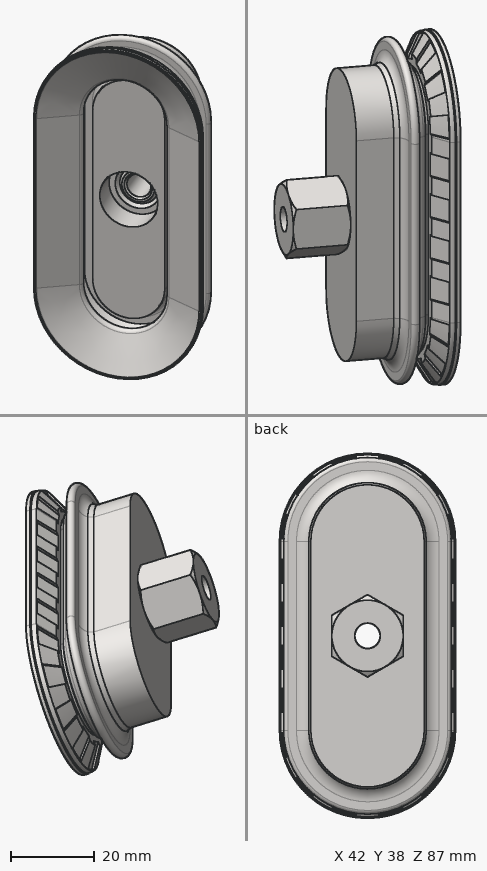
import cadquery as cq
import math

straight_length = 45.0
total_depth = 38.02

holder_radius = 13.5
holder_back_y = 23.8
holder_edge_y = 14.55
shoulder_radius = 14.0
shoulder_y = 13.2
flange_radius = 20.0
flange_top_y = 11.85
flange_bottom_y = 9.7
flange_root_radius = 17.0
flange_lower_root_radius = 17.5
flange_edge_fillet = 0.95
fold_radius = 14.4
fold_y = 7.6
fold_end_radius = 13.8
fold_end_y = 6.8
neck_radius = 12.7
neck_top_radius = 13.0
neck_top_y = 6.5
neck_inner_radius = 10.5
neck_lead_radius = 11.2
neck_lead_y = 5.1
neck_bulge_y = 6.2
neck_inner_top_radius = 10.9
neck_inner_top_y = 7.1

island_radius = 9.0
island_y = 8.8
island_fillet = 1.5
chamber_radius = 14.9
chamber_y = 10.3
chamber_roof_radius = 12.4
chamber_roof_y = 13.0

lip_top_y = 5.75
rim_radius = 21.0
rim_chamfer = 0.15
rim_band_y = 1.1
rim_upper_radius = rim_radius - rim_chamfer
rim_upper_y = 1.4
rim_round_radius = 20.65
rim_round_y = 2.65
rim_inner_radius = 20.3
cone_slope = 0.604
lip_top_radius = rim_round_radius - (lip_top_y - rim_round_y) / cone_slope

recess_depth = 0.6
recess_outer_radius = 20.45
recess_pitch = 10.25
recess_width = 5.75
recess_pitch_angle = 32.0
recess_angle = 16.5
arc_recess_steps = (-2.5, -1.5, -0.5, 0.5, 1.5, 2.5)
side_recess_steps = (-1.5, -0.5, 0.5, 1.5)

counterbore_diameter = 14.5
counterbore_depth = 7.3
countersink_diameter = 11.45
thread_diameter = 9.73
thread_nose_diameter = 8.2
bore_diameter = 6.0
bore_chamfer = 0.5

hex_across_flats = 17.0
hex_chamfer_angle = 30.0
hex_turn = 30.0


def oval_sweep(make_section):
    """Carry a (radius, y) section round the oval: two half turns joined by straight runs."""
    half = straight_length / 2
    half_turn = make_section().revolve(180, (0, 0), (0, 1))
    if half_turn.val().Center().z < 0:
        half_turn = half_turn.mirror("XY")
    upper_end = half_turn.translate((0, 0, half))
    run = make_section().extrude(half, both=True)
    side = run.union(run.mirror("YZ"))
    return side.union(upper_end).union(upper_end.mirror("XY"))


def fold_arc_middle():
    """Middle of the arc that leaves the flange tangentially and ends on the fold."""
    width = flange_lower_root_radius - fold_radius
    height = flange_bottom_y - fold_y
    arc_radius = (width ** 2 + height ** 2) / (2 * height)
    half_angle = math.atan2(height, width)
    return (
        flange_lower_root_radius - arc_radius * math.sin(half_angle),
        flange_bottom_y - arc_radius * (1 - math.cos(half_angle)),
    )


def cup_section():
    """Half section of holder, chamber, bellows and lip, closed on the centre line."""
    edge = flange_edge_fillet
    flange_top_edge = (flange_radius - edge, flange_top_y)
    flange_bottom_edge = (flange_radius - edge, flange_bottom_y)
    flange_tip = (flange_radius, (flange_top_y + flange_bottom_y) / 2)
    rim_round_middle = (rim_upper_radius, (rim_upper_y + rim_round_y) / 2)
    diagonal = island_fillet * math.sqrt(0.5)
    island_fillet_middle = (
        island_radius + island_fillet - diagonal,
        chamber_roof_y - island_fillet + diagonal,
    )
    return (
        cq.Workplane("XY")
        .moveTo(0, island_y)
        .lineTo(island_radius, island_y)
        .lineTo(island_radius, chamber_roof_y - island_fillet)
        .threePointArc(island_fillet_middle, (island_radius + island_fillet, chamber_roof_y))
        .lineTo(chamber_roof_radius, chamber_roof_y)
        .lineTo(chamber_radius, chamber_y)
        .lineTo(neck_inner_top_radius, neck_inner_top_y)
        .threePointArc((neck_inner_radius, neck_bulge_y), (neck_lead_radius, neck_lead_y))
        .lineTo(rim_inner_radius, rim_chamfer)
        .lineTo(rim_inner_radius + rim_chamfer, 0)
        .lineTo(rim_radius - rim_chamfer, 0)
        .lineTo(rim_radius, rim_chamfer)
        .lineTo(rim_radius, rim_band_y)
        .lineTo(rim_upper_radius, rim_upper_y)
        .threePointArc(rim_round_middle, (rim_round_radius, rim_round_y))
        .lineTo(lip_top_radius, lip_top_y)
        .lineTo(neck_radius, lip_top_y)
        .lineTo(neck_top_radius, neck_top_y)
        .lineTo(fold_end_radius, fold_end_y)
        .lineTo(fold_radius, fold_y)
        .threePointArc(fold_arc_middle(), (flange_lower_root_radius, flange_bottom_y))
        .lineTo(*flange_bottom_edge)
        .threePointArc(flange_tip, flange_top_edge)
        .lineTo(flange_root_radius, flange_top_y)
        .tangentArcPoint((shoulder_radius, shoulder_y), relative=False)
        .lineTo(holder_radius, holder_edge_y)
        .lineTo(holder_radius, holder_back_y)
        .lineTo(0, holder_back_y)
        .close()
    )


def recess_section():
    """Strip along the lip cone, open at its inner end and closed square to the cone outside."""
    slant = math.hypot(1, cone_slope)
    drop = recess_depth * slant
    outer_y = rim_round_y + cone_slope * (rim_round_radius - recess_outer_radius)
    outer_floor = (
        recess_outer_radius - recess_depth * cone_slope / slant,
        outer_y - recess_depth / slant,
    )
    return (
        cq.Workplane("XY")
        .moveTo(lip_top_radius - drop / cone_slope, lip_top_y)
        .lineTo(lip_top_radius, lip_top_y)
        .lineTo(recess_outer_radius, outer_y)
        .lineTo(*outer_floor)
        .close()
    )


def recess_windows():
    """Blocks that cut the recess ring into single recesses, round the ends and along the sides."""
    reach = 2 * rim_radius
    half_width = reach * math.tan(math.radians(recess_angle / 2))
    wedge = (
        cq.Workplane("XZ")
        .polyline([(0, 0), (half_width, reach), (-half_width, reach)])
        .close()
        .extrude(-holder_edge_y)
    )
    bar = cq.Workplane("XY").box(2 * reach, 2 * holder_edge_y, recess_width)
    windows = []
    for step in arc_recess_steps:
        window = wedge.rotate((0, 0, 0), (0, 1, 0), step * recess_pitch_angle)
        window = window.translate((0, 0, straight_length / 2))
        windows.append(window)
        windows.append(window.mirror("XY"))
    for step in side_recess_steps:
        windows.append(bar.translate((0, 0, step * recess_pitch)))
    return windows


def cut_recesses(cup):
    ring = oval_sweep(recess_section)
    for window in recess_windows():
        cup = cup.cut(ring.intersect(window))
    return cup


def hex_fitting():
    """Hexagon chamfered at the corners of both ends."""
    length = total_depth - holder_back_y
    corner_radius = hex_across_flats / math.sqrt(3)
    flat_radius = hex_across_flats / 2
    chamfer = (corner_radius - flat_radius) * math.tan(math.radians(hex_chamfer_angle))
    prism = (
        cq.Workplane("XZ")
        .polygon(6, 2 * corner_radius)
        .extrude(-length)
        .rotate((0, 0, 0), (0, 1, 0), hex_turn)
    )
    envelope = (
        cq.Workplane("XY")
        .polyline([
            (0, 0),
            (flat_radius, 0),
            (corner_radius, chamfer),
            (corner_radius, length - chamfer),
            (flat_radius, length),
            (0, length),
        ])
        .close()
        .revolve(360, (0, 0), (0, 1))
    )
    return prism.intersect(envelope).translate((0, holder_back_y, 0))


def bore():
    """Counterbore, countersink around the chamfered thread nose, and the through bore."""
    bore_radius = bore_diameter / 2
    thread_radius = thread_diameter / 2
    nose_radius = thread_nose_diameter / 2
    step_y = island_y + counterbore_depth
    countersink_y = step_y + (countersink_diameter - thread_diameter) / 2
    nose_y = countersink_y - (thread_radius - nose_radius)
    return (
        cq.Workplane("XY")
        .polyline([
            (0, island_y),
            (counterbore_diameter / 2, island_y),
            (counterbore_diameter / 2, step_y),
            (countersink_diameter / 2, step_y),
            (thread_radius, countersink_y),
            (nose_radius, nose_y),
            (bore_radius + bore_chamfer, nose_y),
            (bore_radius, nose_y + bore_chamfer),
            (bore_radius, total_depth),
            (0, total_depth),
        ])
        .close()
        .revolve(360, (0, 0), (0, 1))
    )


result = cut_recesses(oval_sweep(cup_section)).union(hex_fitting()).cut(bore())